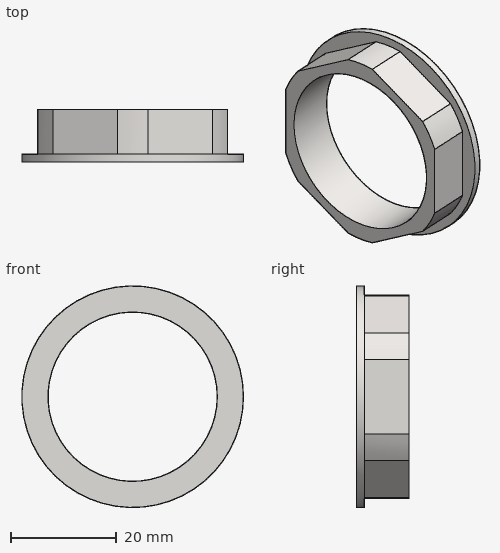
import cadquery as cq

flange_diameter = 42.0
flange_thickness = 1.5
total_depth = 10.0
bore_diameter = 32.0

across_flats = 36.0
corner_circle_diameter = 38.65
body_depth = total_depth - flange_thickness


def plane_at(y):
    """Plane facing +Y, with its local X axis along the part's X."""
    return cq.Workplane(cq.Plane(origin=(0, y, 0), xDir=(1, 0, 0), normal=(0, 1, 0)))


def make_flange():
    return plane_at(0).circle(flange_diameter / 2).extrude(flange_thickness)


def make_body():
    hexagon = (
        plane_at(flange_thickness)
        .polygon(6, across_flats, circumscribed=True)
        .extrude(body_depth)
    )
    corner_limit = plane_at(flange_thickness).circle(corner_circle_diameter / 2).extrude(body_depth)
    return hexagon.intersect(corner_limit)


def make_bore():
    return plane_at(0).circle(bore_diameter / 2).extrude(total_depth)


result = make_flange().union(make_body()).cut(make_bore())